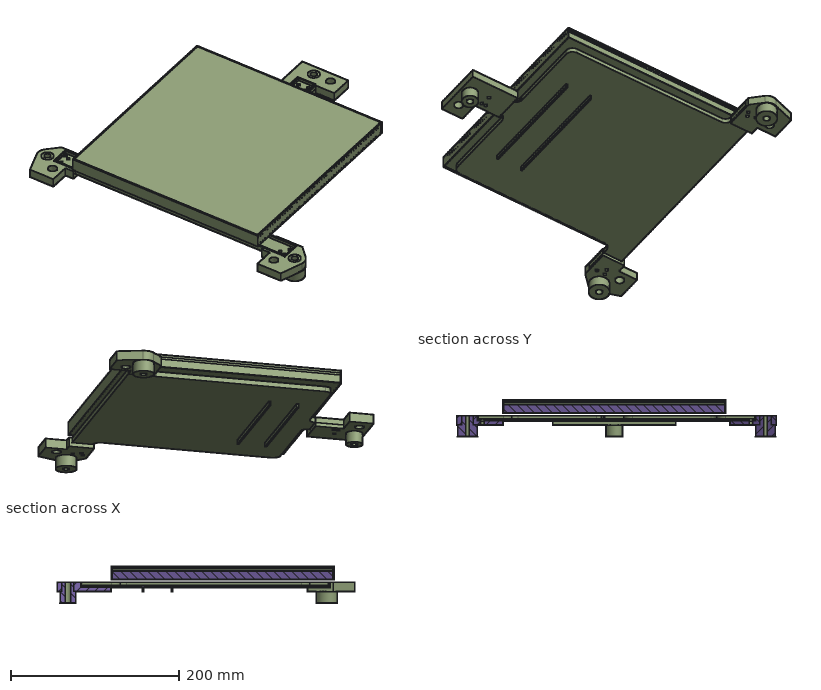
import cadquery as cq
import math


foot_height = 13.7
bracket_thickness = 11.5
panel_gap = 2.5
panel_height = 16.0
frame_height = 6.5
frame_floor = 2.5
bracket_top = foot_height + bracket_thickness
frame_bottom = bracket_top - frame_height
floor_top = frame_bottom + frame_floor
panel_bottom = bracket_top + panel_gap
panel_top = panel_bottom + panel_height

panel_size = 265.0
panel_center_x = -2.5
panel_front_y = 24.8
panel_wall = 1.35
panel_front_wall = 2.0
panel_floor = 1.0
cover_thickness = 2.5
cover_gap = 2.5
panel_left_x = panel_center_x - panel_size / 2
panel_back_y = panel_front_y + panel_size

arm_width = 26.0
arm_wall = 2.0
arm_end_wall = 1.0
front_arm_y = 42.5
front_arm_reach = 165.7
rear_arm_x = panel_center_x
rear_arm_end_y = 326.5
frame_inset = 8.8
corner_radius = 9.0
arm_root_radius = 8.5
frame_half_width = panel_size / 2 - frame_inset
frame_left_x = panel_center_x - frame_half_width
frame_right_x = panel_center_x + frame_half_width
frame_front_y = front_arm_y - arm_width / 2
frame_back_y = panel_back_y - frame_inset
rib_length = 146.5
rib_thickness = 2.0
rib_back_faces_y = (253.0, 218.5)

bracket_edge = 1.0
front_bracket_back_y = front_arm_y + arm_width / 2 + bracket_edge
front_bracket_inner_x = 135.0
front_bracket_step_x = 146.3
front_bracket_step_y = 26.0
front_bracket_corner_x = 180.0
front_bracket_nose_radius = 13.5
front_mount_hole = (158.5, 16.8)
rear_bracket_left_x = -28.0
rear_bracket_right_x = 38.0
rear_bracket_back_y = 354.5
rear_head_front_y = 324.5
rear_leg_end_y = panel_back_y
rear_mount_hole = (21.5, 341.5)
mount_hole_diameter = 11.0

front_foot = (177.0, 33.5)
rear_foot = (panel_center_x, 341.5)
front_foot_diameter = 25.0
rear_foot_diameter = 20.0
shank_diameter = 15.0
foot_bore_diameter = 8.0

fastener_diameter = 4.0
left_fasteners = [(-162.3, 50.0), (-156.2, 47.0), (-159.5, 37.0)]
right_fasteners = [(160.0, 48.5), (152.8, 39.2), (160.0, 37.0)]
rear_fasteners = [(-9.0, 318.5), (4.0, 320.0), (4.0, 314.5)]


def block(x_range, y_range, z_range):
    """Box between the given limits along X, Y and Z."""
    size = [high - low for low, high in (x_range, y_range, z_range)]
    return cq.Workplane("XY").box(*size, centered=False).translate((x_range[0], y_range[0], z_range[0]))


def bores(points, diameter):
    """Vertical cylinders from the ground to the top of the brackets."""
    return cq.Workplane("XY").pushPoints(points).circle(diameter / 2).extrude(bracket_top)


def front_arm(width, reach, z_range):
    """Straight bar that runs through both front arms."""
    y_range = (front_arm_y - width / 2, front_arm_y + width / 2)
    return block((-reach, reach), y_range, z_range)


def rear_arm(width, end_y, z_range):
    """Straight bar from the middle of the frame to the end of the rear arm."""
    x_range = (rear_arm_x - width / 2, rear_arm_x + width / 2)
    return block(x_range, (front_arm_y, end_y), z_range)


def make_panel_tray():
    outside = block(
        (panel_left_x, panel_left_x + panel_size),
        (panel_front_y, panel_back_y),
        (panel_bottom, panel_top),
    )
    return outside.cut(panel_layer(panel_bottom + panel_floor, panel_top))


def panel_layer(bottom, top):
    """Slab that fills the inside of the panel tray between two heights."""
    return block(
        (panel_left_x + panel_wall, panel_left_x + panel_size - panel_wall),
        (panel_front_y + panel_front_wall, panel_back_y - panel_wall),
        (bottom, top),
    )


def frame_shape(wall, end_wall, root_radius, z_range):
    """Tray and arms, drawn in by the wall thickness on every side."""
    tray = block(
        (frame_left_x + wall, frame_right_x - wall),
        (frame_front_y + wall, frame_back_y - wall),
        z_range,
    )
    tray = tray.edges("|Z and >Y").fillet(corner_radius - wall)
    width = arm_width - 2 * wall
    shape = tray.union(front_arm(width, front_arm_reach - end_wall, z_range))
    shape = shape.union(rear_arm(width, rear_arm_end_y - end_wall, z_range))

    back_y = frame_back_y - wall
    arm_back_y = front_arm_y + width / 2
    roots = [
        (frame_left_x + wall, arm_back_y),
        (frame_right_x - wall, arm_back_y),
        (rear_arm_x - width / 2, back_y),
        (rear_arm_x + width / 2, back_y),
    ]
    middle_z = sum(z_range) / 2
    for x, y in roots:
        root_edge = cq.selectors.NearestToPointSelector((x, y, middle_z))
        shape = shape.edges("|Z").edges(root_edge).fillet(root_radius)
    return shape


def make_frame():
    frame = frame_shape(0, 0, arm_root_radius, (frame_bottom, bracket_top))
    pocket = frame_shape(arm_wall, arm_end_wall, arm_root_radius + arm_wall, (floor_top, bracket_top))
    frame = frame.cut(pocket)

    opening = block(
        (rear_arm_x - arm_width / 2 - arm_root_radius, rear_arm_x),
        (frame_back_y, frame_back_y + arm_root_radius),
        (floor_top, bracket_top),
    )
    frame = frame.cut(opening)

    for back_face_y in rib_back_faces_y:
        rib = block(
            (panel_center_x - rib_length / 2, panel_center_x + rib_length / 2),
            (back_face_y - rib_thickness, back_face_y),
            (foot_height, frame_bottom),
        )
        frame = frame.union(rib)
    return frame.cut(bores(left_fasteners + right_fasteners + rear_fasteners, fastener_diameter))


def front_bracket_blank():
    """Left front bracket before its holes and its arm recess are cut."""
    foot_x = -front_foot[0]
    foot_y = front_foot[1]
    corner_x = -front_bracket_corner_x
    radius = front_bracket_nose_radius

    def on_nose(angle):
        return (foot_x + radius * math.cos(angle), foot_y + radius * math.sin(angle))

    upper_angle = math.radians(135)
    corner_distance = math.hypot(corner_x - foot_x, foot_y)
    corner_direction = math.atan2(-foot_y, corner_x - foot_x)
    lower_angle = corner_direction - math.acos(radius / corner_distance) + 2 * math.pi
    flank_x = foot_x - radius * math.sqrt(2) + front_bracket_back_y - foot_y

    return (
        cq.Workplane("XY", origin=(0, 0, foot_height))
        .moveTo(corner_x, 0)
        .lineTo(-front_bracket_step_x, 0)
        .lineTo(-front_bracket_step_x, front_bracket_step_y)
        .lineTo(-front_bracket_inner_x, front_bracket_step_y)
        .lineTo(-front_bracket_inner_x, front_bracket_back_y)
        .lineTo(flank_x, front_bracket_back_y)
        .lineTo(*on_nose(upper_angle))
        .threePointArc(on_nose((upper_angle + lower_angle) / 2), on_nose(lower_angle))
        .close()
        .extrude(bracket_thickness)
    )


def make_front_bracket(side, fasteners):
    """Front bracket on the left (side = -1) or on the right (side = 1)."""
    bracket = front_bracket_blank()
    if side > 0:
        bracket = bracket.mirror("YZ")
    bracket = bracket.cut(front_arm(arm_width, front_arm_reach, (frame_bottom, bracket_top)))
    bracket = bracket.cut(bores([(side * front_foot[0], front_foot[1])], shank_diameter))
    bracket = bracket.cut(bores([(side * front_mount_hole[0], front_mount_hole[1])], mount_hole_diameter))
    return bracket.cut(bores(fasteners, fastener_diameter))


def make_rear_bracket():
    z_range = (foot_height, bracket_top)
    leg_right_x = rear_arm_x + arm_width / 2 + bracket_edge
    head = block(
        (rear_bracket_left_x, rear_bracket_right_x),
        (rear_head_front_y, rear_bracket_back_y),
        z_range,
    )
    leg = block((rear_bracket_left_x, leg_right_x), (rear_leg_end_y, rear_bracket_back_y), z_range)
    bracket = head.union(leg)
    bracket = bracket.cut(rear_arm(arm_width, rear_arm_end_y, (frame_bottom, bracket_top)))
    bracket = bracket.cut(bores([rear_foot], shank_diameter))
    bracket = bracket.cut(bores([rear_mount_hole], mount_hole_diameter))
    return bracket.cut(bores(rear_fasteners, fastener_diameter))


def make_foot(center, diameter):
    """Round foot with a bored shank that fills the hole in its bracket."""
    pad = cq.Workplane("XY").circle(diameter / 2).extrude(foot_height)
    shank = cq.Workplane("XY").circle(shank_diameter / 2).extrude(bracket_top)
    bore = cq.Workplane("XY").circle(foot_bore_diameter / 2).extrude(bracket_top)
    return pad.union(shank).cut(bore).translate((center[0], center[1], 0))


panel_tray = make_panel_tray()
core_slab = panel_layer(panel_bottom + panel_floor, panel_top - cover_thickness - cover_gap)
cover_plate = panel_layer(panel_top - cover_thickness, panel_top)
frame = make_frame()

brackets = [
    make_front_bracket(-1, left_fasteners),
    make_front_bracket(1, right_fasteners),
    make_rear_bracket(),
]

feet = []
for center, diameter in [
    ((-front_foot[0], front_foot[1]), front_foot_diameter),
    (front_foot, front_foot_diameter),
    (rear_foot, rear_foot_diameter),
]:
    feet.append(make_foot(center, diameter))

bodies = [panel_tray, core_slab, cover_plate, frame, *brackets, *feet]
result = cq.Compound.makeCompound([body.val() for body in bodies])